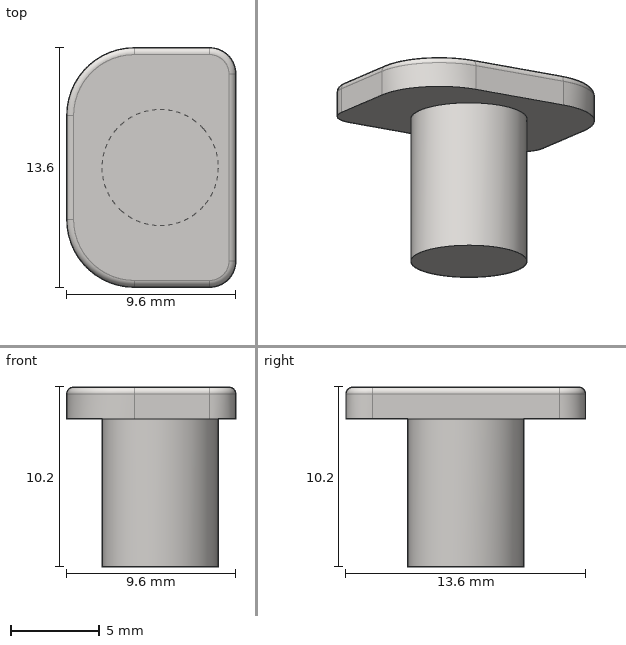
import cadquery as cq

head_length_x = 9.6
head_width_y = 13.6
head_thickness = 1.8
large_corner_radius = 3.85
small_corner_radius = 1.5
top_edge_radius = 0.4

total_height = 10.2
stem_diameter = 6.6
stem_length = total_height - head_thickness
stem_axis_to_left_side = 5.3
head_center_x = head_length_x / 2 - stem_axis_to_left_side


def make_head():
    """Plate with unequal corner radii and a rounded top rim."""
    plate = (
        cq.Workplane("XY", origin=(head_center_x, 0, stem_length))
        .rect(head_length_x, head_width_y)
        .extrude(head_thickness)
    )
    plate = plate.edges("|Z and <X").fillet(large_corner_radius)
    plate = plate.edges("|Z and >X").fillet(small_corner_radius)
    return plate.faces(">Z").edges().fillet(top_edge_radius)


def make_stem():
    """Plain cylinder reaching up to the underside of the head."""
    return cq.Workplane("XY").circle(stem_diameter / 2).extrude(stem_length)


result = make_head().union(make_stem())